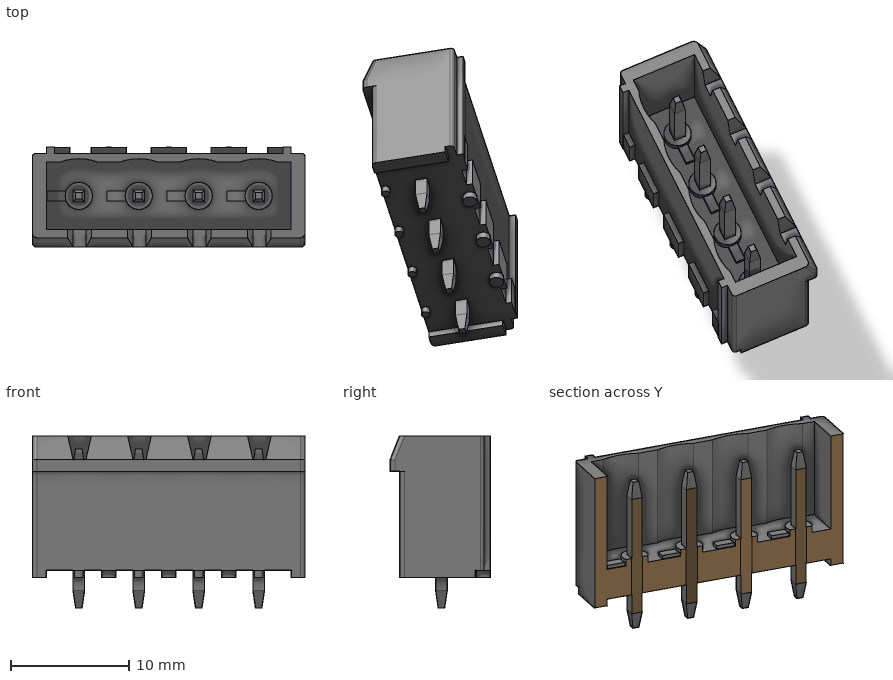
import cadquery as cq


pin_count = 4
pitch = 5.08
pin_positions = [(i - (pin_count - 1) / 2) * pitch for i in range(pin_count)]
gap_positions = [(i - (pin_count - 2) / 2) * pitch for i in range(pin_count - 1)]

housing_height = 12.0
side_wall = 1.2
end_clearance = 0.2
cavity_length = pin_count * pitch + 2 * end_clearance
housing_length = cavity_length + 2 * side_wall
front_y = -3.55
back_y = 3.6
front_corner_radius = 0.4
back_corner_radius = 0.3

lip_y = -4.35
lip_bottom = 9.0
lip_slope_start = 10.0

cavity_half_width = 2.85
floor_z = 3.4
scallop_width = 3.3
scallop_depth = 0.3

collar_diameter = 2.3
collar_height = 0.6
bar_reach = 2.7
bar_width = 0.84
bar_height = 0.3

notch_top_width = 2.0
notch_bottom_width = 1.1
notch_offset = 0.06

standoff = 0.6
leg_back_y = 2.87
front_peg_diameter = 0.7
back_peg_diameter = 1.2

rib_width = 0.7
rib_y = 4.15
tab_y = 4.1
tab_width = 3.0
end_tab_inner_x = 8.38
tab_top = floor_z

pin_width = 1.0
pin_tip_width = 0.55
pin_top_taper = 1.5
pin_bottom_taper = 1.5
pin_top = 10.9
pin_bottom = -2.6


def box(x_range, y_range, z_range):
    """Box given by its lower and upper limits along each axis."""
    size = [high - low for low, high in (x_range, y_range, z_range)]
    corner = cq.Vector(x_range[0], y_range[0], z_range[0])
    return cq.Workplane(cq.Solid.makeBox(*size, corner))


def mirrored_pair(x_inner, x_outer, y_range, z_range):
    """Two boxes mirrored about the YZ plane."""
    right = box((x_inner, x_outer), y_range, z_range)
    return right.union(box((-x_outer, -x_inner), y_range, z_range))


def make_shell():
    """Solid outer shape: side profile with the sloped front lip, rounded at its upright corners."""
    profile = [
        (back_y, 0),
        (back_y, housing_height),
        (front_y, housing_height),
        (lip_y, lip_slope_start),
        (lip_y, lip_bottom),
        (front_y, lip_bottom),
        (front_y, 0),
    ]
    shell = cq.Workplane("YZ").polyline(profile).close().extrude(housing_length / 2, both=True)
    shell = shell.faces("<X or >X").edges("not (|Y or >Y)").fillet(front_corner_radius)
    return shell.edges("|Z and >Y").fillet(back_corner_radius)


def make_cavity():
    """Space inside the shroud, with its back scallops."""
    half_length = cavity_length / 2
    outline = cq.Workplane("XY").workplane(offset=floor_z)
    outline = outline.moveTo(-half_length, -cavity_half_width).lineTo(-half_length, cavity_half_width)
    for x in pin_positions:
        outline = outline.lineTo(x - scallop_width / 2, cavity_half_width)
        outline = outline.threePointArc(
            (x, cavity_half_width + scallop_depth),
            (x + scallop_width / 2, cavity_half_width),
        )
    outline = outline.lineTo(half_length, cavity_half_width).lineTo(half_length, -cavity_half_width)
    return outline.close().extrude(housing_height - floor_z)


def make_collar(x):
    """Round collar around a pin and the lower bar that runs from it to the left."""
    collar = (
        cq.Workplane("XY", origin=(x, 0, floor_z))
        .circle(collar_diameter / 2)
        .extrude(collar_height)
    )
    bar_start = max(x - bar_reach, -cavity_length / 2)
    bar = box(
        (bar_start, x),
        (-bar_width / 2, bar_width / 2),
        (floor_z, floor_z + bar_height),
    )
    return collar.union(bar)


def make_notch(x):
    """Tapered notch from the lip through to the cavity, centred just to the right of its pin."""
    center = x + notch_offset
    profile = [
        (center - notch_bottom_width / 2, lip_slope_start),
        (center + notch_bottom_width / 2, lip_slope_start),
        (center + notch_top_width / 2, housing_height),
        (center - notch_top_width / 2, housing_height),
    ]
    notch = cq.Workplane("XZ", origin=(0, -cavity_half_width, 0)).polyline(profile).close()
    return notch.extrude(-cavity_half_width - lip_y)


def make_peg(x, y, diameter):
    """Standoff peg below the housing underside."""
    return cq.Workplane("XY", origin=(x, y, 0)).circle(diameter / 2).extrude(standoff)


def make_pin(x):
    """Square pin, tapered at both ends."""
    shaft = (
        cq.Workplane("XY", origin=(x, 0, pin_bottom + pin_bottom_taper))
        .rect(pin_width, pin_width)
        .extrude(pin_top - pin_top_taper - pin_bottom - pin_bottom_taper)
    )
    for selector, taper in (("<Z", pin_bottom_taper), (">Z", pin_top_taper)):
        shaft = (
            shaft.faces(selector)
            .workplane(centerOption="CenterOfMass")
            .rect(pin_width, pin_width)
            .workplane(offset=taper)
            .rect(pin_tip_width, pin_tip_width)
            .loft(ruled=True)
        )
    return shaft


def make_housing():
    housing = make_shell().cut(make_cavity())

    half_cavity = cavity_length / 2
    half_length = housing_length / 2
    housing = housing.cut(box((-half_cavity, half_cavity), (front_y, back_y), (0, standoff)))
    housing = housing.cut(box((-half_length, half_length), (leg_back_y, back_y), (0, standoff)))

    rib_inner_x = half_cavity - rib_width
    housing = housing.union(
        mirrored_pair(rib_inner_x, half_cavity, (back_y, rib_y), (standoff, housing_height))
    )
    housing = housing.union(
        mirrored_pair(end_tab_inner_x, half_cavity, (back_y, tab_y), (standoff, tab_top))
    )
    for x in gap_positions:
        tab_limits = (x - tab_width / 2, x + tab_width / 2)
        housing = housing.union(box(tab_limits, (back_y, tab_y), (standoff, tab_top)))
        housing = housing.union(make_peg(x, rib_y - back_peg_diameter / 2, back_peg_diameter))

    for x in pin_positions:
        housing = housing.union(make_peg(x, front_y + front_peg_diameter / 2, front_peg_diameter))
        housing = housing.union(make_collar(x))
        housing = housing.cut(make_notch(x))
        housing = housing.cut(make_pin(x))
    return housing


housing = make_housing()
pins = [make_pin(x) for x in pin_positions]

result = cq.Compound.makeCompound([housing.val(), *[pin.val() for pin in pins]])